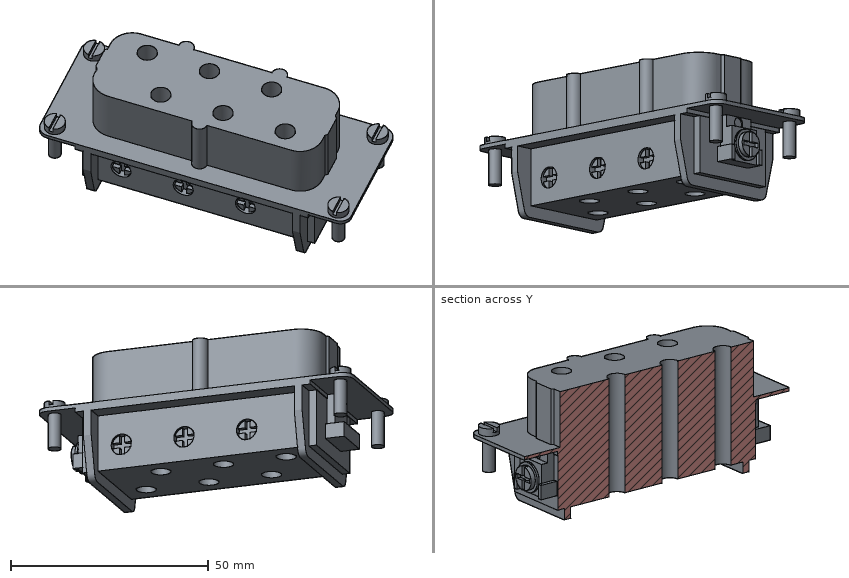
import cadquery as cq


plate_length = 84.9
plate_width = 34.0
plate_thickness = 1.0
plate_corner_radius = 3.0

housing_height = 15.0
housing_length = 62.15
housing_width = 22.9
housing_corner_radius = 6.0
end_pad_height = 0.6
end_pad_half_width = 3.05
end_pad_root_half_width = 3.6
rib_radius = 2.0
rear_rib_positions = (-12.7, 12.7)
front_rib_position = 0.0

body_length = housing_length + 2 * end_pad_height
body_width = 24.1
body_bottom = -16.9
deck_overhang = 0.2
deck_bottom = -2.1

leg_bottom = -19.95
leg_thickness = 2.1
leg_end_inset = 2.0
leg_taper_start = -8.75
leg_foot_half_width = 14.1
leg_foot_radius = 2.1

contact_pitch = 17.0
contact_stagger = 4.25
contact_row_offset = 6.0
contact_diameter = 5.1
clamp_height = -10.45
clamp_diameter = 5.4
clamp_head_depth = 0.7
clamp_cross_width = 1.4
clamp_cross_depth = 1.3

screw_x = 38.7
screw_y = 13.5
screw_head_diameter = 5.35
screw_head_height = 2.0
screw_slot_width = 1.0
screw_slot_depth = 1.1
screw_shank_diameter = 3.3
screw_bottom = -10.1

terminal_width = 8.9
column_face = 33.8
block_width = 11.1
block_face = 36.8
block_top = -9.2
block_bottom = -13.1
pad_face = 35.75
pad_top = -4.1
mark_diameter = 3.0
mark_height = -2.6
mark_depth = 0.4

earth_height = -8.6
neck_radius = 3.5
washer_radius = 4.03
washer_back = 36.2
head_radius = 3.2
head_face = 38.1
earth_slot_width = 0.9
earth_cross_width = 1.2
earth_cross_length = 5.1
earth_slot_depth = 1.0


def block(x_range, y_range, z_range):
    """Box between two limits on each axis."""
    size = [high - low for low, high in (x_range, y_range, z_range)]
    corner = (x_range[0], y_range[0], z_range[0])
    return cq.Workplane("XY").box(*size, centered=False).translate(corner)


def centred(width):
    return -width / 2, width / 2


def make_plate():
    plate = cq.Workplane("XY").rect(plate_length, plate_width).extrude(-plate_thickness)
    return plate.edges("|Z").fillet(plate_corner_radius)


def make_housing():
    housing = cq.Workplane("XY").rect(housing_length, housing_width).extrude(housing_height)
    housing = housing.edges("|Z").fillet(housing_corner_radius)

    end_x = housing_length / 2
    pad_x = end_x + end_pad_height
    pads = (
        cq.Workplane("XY")
        .moveTo(-end_x, -end_pad_root_half_width)
        .lineTo(-pad_x, -end_pad_half_width)
        .lineTo(-pad_x, end_pad_half_width)
        .lineTo(-end_x, end_pad_root_half_width)
        .lineTo(end_x, end_pad_root_half_width)
        .lineTo(pad_x, end_pad_half_width)
        .lineTo(pad_x, -end_pad_half_width)
        .lineTo(end_x, -end_pad_root_half_width)
        .close()
        .extrude(housing_height)
    )

    rib_points = [(x, housing_width / 2) for x in rear_rib_positions]
    rib_points.append((front_rib_position, -housing_width / 2))
    ribs = cq.Workplane("XY").pushPoints(rib_points).circle(rib_radius).extrude(housing_height)
    return housing.union(pads).union(ribs)


def make_body():
    body = block(centred(body_length), centred(body_width), (body_bottom, 0))
    deck = block(centred(body_length + 2 * deck_overhang), centred(plate_width), (deck_bottom, 0))
    return body.union(deck)


def make_leg(inner_x):
    """Tapered leg plate, starting at inner_x and reaching leg_thickness further along +X."""
    half_width = plate_width / 2
    leg = (
        cq.Workplane("YZ")
        .polyline([
            (-half_width, 0),
            (-half_width, leg_taper_start),
            (-leg_foot_half_width, leg_bottom),
            (leg_foot_half_width, leg_bottom),
            (half_width, leg_taper_start),
            (half_width, 0),
        ])
        .close()
        .extrude(leg_thickness)
    )
    return leg.edges("|X and <Z").fillet(leg_foot_radius).translate((inner_x, 0, 0))


def make_legs():
    outer_x = body_length / 2 - leg_end_inset
    return make_leg(-outer_x).union(make_leg(outer_x - leg_thickness))


def make_mounting_screw(x, y):
    head = cq.Workplane("XY").circle(screw_head_diameter / 2).extrude(screw_head_height)
    shank = cq.Workplane("XY").circle(screw_shank_diameter / 2).extrude(screw_bottom)
    slot = block(
        centred(screw_slot_width),
        centred(screw_head_diameter),
        (screw_head_height - screw_slot_depth, screw_head_height),
    )
    return head.cut(slot).union(shank).translate((x, y, 0))


def make_terminal():
    """Column and clamp block as they stand at the +X end."""
    column = block((0, column_face), centred(terminal_width), (block_bottom, 0))
    clamp = block((0, block_face), centred(block_width), (block_bottom, block_top))
    return column.union(clamp)


def make_earth_terminal():
    """The -X terminal: two clamp ears either side of a screw pad."""
    column = block((-column_face, 0), centred(terminal_width), (block_bottom, 0))
    ears = block((-block_face, 0), centred(block_width), (block_bottom, block_top))
    ears = ears.cut(block((-block_face, 0), centred(terminal_width), (block_bottom, block_top)))
    pad = block((-pad_face, 0), centred(terminal_width), (block_bottom, pad_top))
    mark = end_disc(mark_diameter / 2, column_face - mark_depth, column_face, mark_height)
    return column.cut(mark).union(ears).union(pad)


def end_disc(radius, inner, outer, height):
    """Disc along X at the -X end, between two distances from the centre."""
    disc = cq.Workplane("YZ").circle(radius).extrude(outer - inner)
    return disc.translate((-outer, 0, height))


def make_earth_screw():
    neck = end_disc(neck_radius, pad_face, washer_back, earth_height)
    washer = end_disc(washer_radius, washer_back, block_face, earth_height)
    head = end_disc(head_radius, block_face, head_face, earth_height)
    slot_x = (-head_face, -head_face + earth_slot_depth)
    slot = block(slot_x, centred(earth_slot_width), centred(2 * head_radius))
    cross = block(slot_x, centred(earth_cross_length), centred(earth_cross_width))
    head = head.cut(slot.union(cross).translate((0, 0, earth_height)))
    return neck.union(washer).union(head)


def contact_row(side):
    """X positions of one row; side is +1 for the rear row and -1 for the front row."""
    return [index * contact_pitch - side * contact_stagger for index in (-1, 0, 1)]


def make_contact_holes():
    points = [(x, side * contact_row_offset) for side in (-1, 1) for x in contact_row(side)]
    holes = cq.Workplane("XY", origin=(0, 0, body_bottom))
    return holes.pushPoints(points).circle(contact_diameter / 2).extrude(housing_height - body_bottom)


def make_clamp_recess(x):
    """Sunken clamp screw in the front face: a round recess with a deeper cross."""
    radius = clamp_diameter / 2
    total_depth = clamp_head_depth + clamp_cross_depth
    recess = cq.Workplane("XZ").circle(radius).extrude(-clamp_head_depth)
    bore = cq.Workplane("XZ").circle(radius).extrude(-total_depth)
    cross = (
        cq.Workplane("XZ").rect(clamp_cross_width, clamp_diameter).extrude(-total_depth)
        .union(cq.Workplane("XZ").rect(clamp_diameter, clamp_cross_width).extrude(-total_depth))
    )
    recess = recess.union(bore.intersect(cross))
    return recess.translate((x, -body_width / 2, clamp_height))


result = make_plate().union(make_housing()).union(make_body()).union(make_legs())
result = result.union(make_terminal()).union(make_earth_terminal()).union(make_earth_screw())

for x in (-screw_x, screw_x):
    for y in (-screw_y, screw_y):
        result = result.union(make_mounting_screw(x, y))

for x in contact_row(1):
    front_recess = make_clamp_recess(x)
    rear_recess = front_recess.rotate((0, 0, 0), (0, 0, 1), 180)
    result = result.cut(front_recess).cut(rear_recess)

result = result.cut(make_contact_holes())